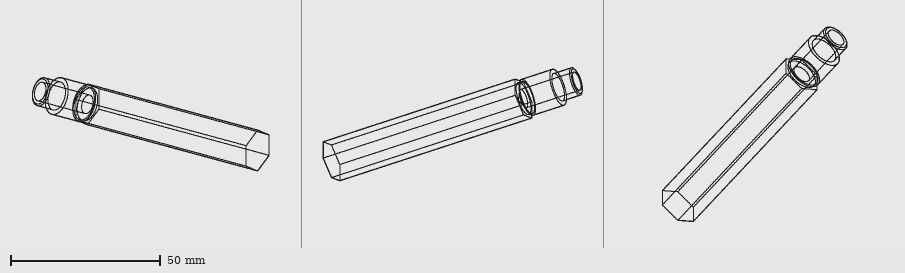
import cadquery as cq
import math

total_length = 91.4
across_flats = 12.7
across_corners = across_flats / math.cos(math.radians(30))

collar_start = 6.95
collar_end = 18.5
hex_start = 19.8

tip_diameter = 9.7
collar_diameter = across_flats
neck_diameter = 11.3

chamfer_length = 0.4
chamfer_depth = 0.55

bore_diameter = 6.4
bore_depth = hex_start
drill_point_angle = 118.0


def turned_end():
    """Chamfered tip, collar and neck, revolved about the X axis."""
    tip_radius = tip_diameter / 2
    return (
        cq.Workplane("XY")
        .lineTo(0, tip_radius - chamfer_depth)
        .lineTo(chamfer_length, tip_radius)
        .lineTo(collar_start, tip_radius)
        .lineTo(collar_start, collar_diameter / 2)
        .lineTo(collar_end, collar_diameter / 2)
        .lineTo(collar_end, neck_diameter / 2)
        .lineTo(hex_start, neck_diameter / 2)
        .lineTo(hex_start, 0)
        .close()
        .revolve(360, (0, 0, 0), (1, 0, 0))
    )


def hex_bar():
    """Hexagonal bar with two corners pointing along Z."""
    return (
        cq.Workplane("YZ", origin=(hex_start, 0, 0))
        .transformed(rotate=(0, 0, 90))
        .polygon(6, across_corners)
        .extrude(total_length - hex_start)
    )


def drilled_hole():
    """Cylindrical bore from the tip with a conical drill-point bottom."""
    bore_radius = bore_diameter / 2
    point_length = bore_radius / math.tan(math.radians(drill_point_angle / 2))
    return (
        cq.Workplane("XY")
        .lineTo(0, bore_radius)
        .lineTo(bore_depth, bore_radius)
        .lineTo(bore_depth + point_length, 0)
        .close()
        .revolve(360, (0, 0, 0), (1, 0, 0))
    )


result = turned_end().union(hex_bar()).cut(drilled_hole())